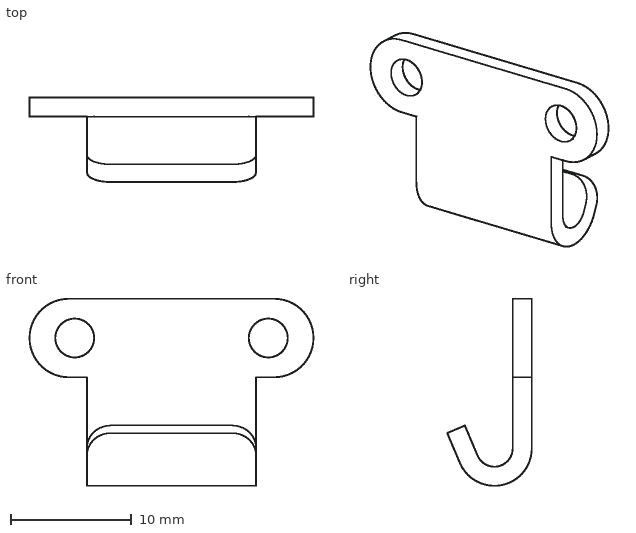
import cadquery as cq
import math

thickness = 1.6
total_height = 15.48
ear_length = 23.5
ear_height = 6.5
body_width = 13.98
hole_diameter = 3.2
hole_spacing = 16.0
bend_inner_radius = 1.5
lip_tilt = 23.0
lip_length = 2.7
lip_corner_radius = 2.0

bend_outer_radius = bend_inner_radius + thickness
bend_y = -bend_outer_radius
bend_z = bend_outer_radius
ear_center_z = total_height - ear_height / 2


def bend_point(radius, angle):
    """Point (y, z) on the bend; 0 degrees points away from the plate."""
    a = math.radians(angle)
    return (bend_y - radius * math.cos(a), bend_z + radius * math.sin(a))


def lip_tip(radius):
    """End of the straight lip face that leaves the bend at this radius."""
    y, z = bend_point(radius, -lip_tilt)
    tilt = math.radians(lip_tilt)
    return (y - lip_length * math.sin(tilt), z + lip_length * math.cos(tilt))


def make_hook():
    """J-shaped strip: upright plate, round bend and tilted lip."""
    hook = (
        cq.Workplane("YZ")
        .moveTo(0, ear_center_z)
        .lineTo(0, bend_z)
        .threePointArc(bend_point(bend_outer_radius, -90), bend_point(bend_outer_radius, -lip_tilt))
        .lineTo(*lip_tip(bend_outer_radius))
        .lineTo(*lip_tip(bend_inner_radius))
        .lineTo(*bend_point(bend_inner_radius, -lip_tilt))
        .threePointArc(bend_point(bend_inner_radius, -90), (-thickness, bend_z))
        .lineTo(-thickness, ear_center_z)
        .close()
        .extrude(body_width / 2, both=True)
    )
    tip_y, tip_z = lip_tip((bend_inner_radius + bend_outer_radius) / 2)
    half_width = body_width / 2
    for x in (-half_width, half_width):
        corner = cq.selectors.NearestToPointSelector((x, tip_y, tip_z))
        hook = hook.edges(corner).fillet(lip_corner_radius)
    return hook


def make_ears():
    """Mounting bar with semicircular ends."""
    return (
        cq.Workplane("XZ")
        .center(0, ear_center_z)
        .slot2D(ear_length, ear_height)
        .extrude(thickness)
    )


def make_holes():
    """Cutters for the two screw holes through the mounting bar."""
    return (
        cq.Workplane("XZ")
        .center(0, ear_center_z)
        .pushPoints([(-hole_spacing / 2, 0), (hole_spacing / 2, 0)])
        .circle(hole_diameter / 2)
        .extrude(thickness)
    )


result = make_hook().union(make_ears()).cut(make_holes())